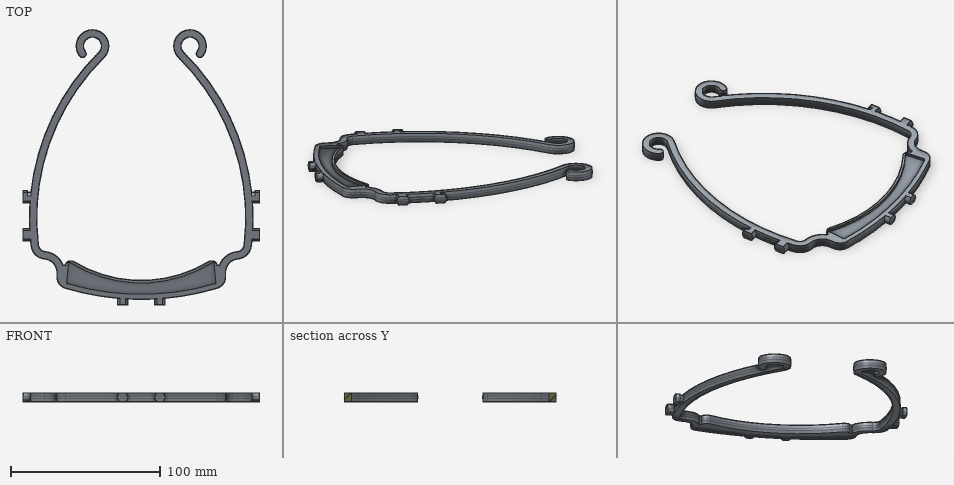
import cadquery as cq
import math

HALF_WIDTH = 79.34
HALF_LENGTH = 92.245
THICKNESS = 6.0

STRIP_WIDTH = 5.0
HOOK_RADIUS = 8.45
ARM_RADIUS = 153.5
ELBOW_RADIUS = 7.5
SHOULDER_RADIUS = 11.5
ARM_CENTER = (81.0, -34.0)
HOOK_TIP_ANGLE = 218.0
ARM_TOP_ANGLE = 134.6
ARM_BOTTOM_ANGLE = 186.9
ELBOW_END_ANGLE = 265.0

BAND_HEIGHT = 1.5
WALL_LEAN = 5.0

PAD_SHOULDER_Y = -65.6
PAD_LOWEST_Y = -88.6
PAD_LOWER_RADIUS = 178.0
PAD_UPPER_RADIUS = 87.5
PAD_UPPER_CENTER_Y = 11.7
PAD_CORNER_RADIUS = 8.0
HORN_HALF_WIDTH = 51.2
HORN_ROUNDING = 4.0
HORN_FOOT_X = 50.0

POCKET_DEPTH = 2.0
POCKET_LOWER_WALL = 3.4
POCKET_UPPER_WALL = 1.8
POCKET_TOP_HALF_WIDTH = 48.7
POCKET_BOTTOM_HALF_WIDTH = 50.1
POCKET_CORNER_RADIUS = 1.0

SIDE_PEG_DIAMETER = 8.2
SIDE_PEG_POSITIONS = (-19.7, -45.25)
SIDE_PEG_ROOT_X = 72.0
NECK_DIAMETER = 6.1
NECK_OUTER_X = 76.4
BOTTOM_PEG_DIAMETER = 7.0
BOTTOM_PEG_X = 12.5
BOTTOM_PEG_ROOT_Y = -86.5


def polar(center, radius, angle):
    """Point at a radius and an angle in degrees from a centre."""
    turn = math.radians(angle)
    return (center[0] + radius * math.cos(turn), center[1] + radius * math.sin(turn))


def circle_y(center_y, radius, x):
    """Y of the lower half of a circle centred on the Y axis."""
    return center_y - math.sqrt(radius**2 - x**2)


HOOK_CENTER = polar(ARM_CENTER, ARM_RADIUS + HOOK_RADIUS, ARM_TOP_ANGLE)
ELBOW_CENTER = polar(ARM_CENTER, ARM_RADIUS - ELBOW_RADIUS, ARM_BOTTOM_ANGLE)
SHOULDER_CENTER = polar(ELBOW_CENTER, ELBOW_RADIUS + SHOULDER_RADIUS, ELBOW_END_ANGLE)
PAD_HALF_WIDTH = STRIP_WIDTH / 2 - SHOULDER_RADIUS - SHOULDER_CENTER[0]
PAD_LOWER_CENTER_Y = PAD_LOWEST_Y + PAD_LOWER_RADIUS


def strip_piece(center, radius, start_angle, end_angle):
    """Ring sector of the strip width."""
    outer = radius + STRIP_WIDTH / 2
    inner = radius - STRIP_WIDTH / 2
    middle_angle = (start_angle + end_angle) / 2
    return (
        cq.Workplane("XY")
        .moveTo(*polar(center, outer, start_angle))
        .threePointArc(polar(center, outer, middle_angle), polar(center, outer, end_angle))
        .lineTo(*polar(center, inner, end_angle))
        .threePointArc(polar(center, inner, middle_angle), polar(center, inner, start_angle))
        .close()
        .extrude(THICKNESS)
    )


def left_strip():
    """Hook, arm, elbow and shoulder as one chain of tangent arcs."""
    tip = polar(HOOK_CENTER, HOOK_RADIUS, HOOK_TIP_ANGLE)
    strip = cq.Workplane("XY").center(*tip).circle(STRIP_WIDTH / 2).extrude(THICKNESS)
    pieces = (
        (HOOK_CENTER, HOOK_RADIUS, ARM_TOP_ANGLE - 180, HOOK_TIP_ANGLE),
        (ARM_CENTER, ARM_RADIUS, ARM_TOP_ANGLE, ARM_BOTTOM_ANGLE),
        (ELBOW_CENTER, ELBOW_RADIUS, ARM_BOTTOM_ANGLE, ELBOW_END_ANGLE),
        (SHOULDER_CENTER, SHOULDER_RADIUS, 0, ELBOW_END_ANGLE - 180),
    )
    for piece in pieces:
        strip = strip.union(strip_piece(*piece))
    return strip


def pad():
    """Crescent between the shoulders, with a rounded horn at each upper end."""
    horn_y = circle_y(PAD_UPPER_CENTER_Y, PAD_UPPER_RADIUS, HORN_HALF_WIDTH)
    corner_y = circle_y(PAD_LOWER_CENTER_Y, PAD_LOWER_RADIUS, PAD_HALF_WIDTH)
    side_y = SHOULDER_CENTER[1]
    shoulder_x = PAD_HALF_WIDTH - STRIP_WIDTH / 2
    body = (
        cq.Workplane("XY")
        .moveTo(-PAD_HALF_WIDTH, corner_y)
        .lineTo(-PAD_HALF_WIDTH, side_y)
        .lineTo(-HORN_HALF_WIDTH, side_y)
        .lineTo(-HORN_HALF_WIDTH, horn_y)
        .threePointArc((0, PAD_UPPER_CENTER_Y - PAD_UPPER_RADIUS), (HORN_HALF_WIDTH, horn_y))
        .lineTo(HORN_HALF_WIDTH, side_y)
        .lineTo(PAD_HALF_WIDTH, side_y)
        .lineTo(PAD_HALF_WIDTH, corner_y)
        .threePointArc((0, PAD_LOWEST_Y), (-PAD_HALF_WIDTH, corner_y))
        .close()
        .extrude(THICKNESS)
    )
    body = body.edges("|Z").edges("<Y").fillet(PAD_CORNER_RADIUS)
    body = body.edges("|Z").edges(">Y").fillet(HORN_ROUNDING)
    notch_floor = cq.Workplane("XY").box(
        shoulder_x - HORN_FOOT_X, PAD_SHOULDER_Y - side_y, THICKNESS, centered=False
    )
    left_floor = notch_floor.translate((-shoulder_x, side_y, 0))
    return body.union(left_floor).union(left_floor.mirror("YZ"))


def leaning_block(flat_block):
    """Block with the same outline whose walls lean inwards above and below the mid-height band."""
    outline = flat_block.faces(">Z").val().outerWire()
    middle = outline.moved(cq.Location((0, 0, -THICKNESS / 2)))
    lean_height = (THICKNESS - BAND_HEIGHT) / 2
    half_band = cq.Workplane("XY").add(middle).toPending().extrude(BAND_HEIGHT / 2)
    band_top = half_band.faces(">Z").val().outerWire()
    slope = cq.Workplane("XY").add(band_top).toPending().extrude(lean_height, taper=WALL_LEAN)
    upper_half = half_band.union(slope)
    return upper_half.union(upper_half.mirror("XY", (0, 0, THICKNESS / 2)))


def pocket():
    """Shallow crescent with straight ends, cut from the top face."""
    upper_radius = PAD_UPPER_RADIUS + POCKET_UPPER_WALL
    lower_radius = PAD_LOWER_RADIUS - POCKET_LOWER_WALL
    top_y = circle_y(PAD_UPPER_CENTER_Y, upper_radius, POCKET_TOP_HALF_WIDTH)
    bottom_y = circle_y(PAD_LOWER_CENTER_Y, lower_radius, POCKET_BOTTOM_HALF_WIDTH)
    return (
        cq.Workplane("XY")
        .workplane(offset=THICKNESS - POCKET_DEPTH)
        .moveTo(-POCKET_TOP_HALF_WIDTH, top_y)
        .threePointArc((0, PAD_UPPER_CENTER_Y - upper_radius), (POCKET_TOP_HALF_WIDTH, top_y))
        .lineTo(POCKET_BOTTOM_HALF_WIDTH, bottom_y)
        .threePointArc((0, PAD_LOWER_CENTER_Y - lower_radius), (-POCKET_BOTTOM_HALF_WIDTH, bottom_y))
        .close()
        .extrude(POCKET_DEPTH)
        .edges("|Z")
        .fillet(POCKET_CORNER_RADIUS)
    )


def peg_neck():
    """Half ring that narrows the upper left peg beside the arm, on the side facing the hook."""
    peg_y = max(SIDE_PEG_POSITIONS)
    length = NECK_OUTER_X - SIDE_PEG_ROOT_X
    ring = (
        cq.Workplane("YZ", origin=(-NECK_OUTER_X, peg_y, THICKNESS / 2))
        .circle(SIDE_PEG_DIAMETER)
        .circle(NECK_DIAMETER / 2)
        .extrude(length)
    )
    hook_side = cq.Workplane("XY", origin=(-NECK_OUTER_X, peg_y, THICKNESS / 2)).box(
        length, SIDE_PEG_DIAMETER, 2 * SIDE_PEG_DIAMETER, centered=(False, False, True)
    )
    return ring.intersect(hook_side)


def pegs():
    """Two pegs on the outside of each arm and two below the pad."""
    side = (
        cq.Workplane("YZ", origin=(-HALF_WIDTH, 0, THICKNESS / 2))
        .pushPoints([(y, 0) for y in SIDE_PEG_POSITIONS])
        .circle(SIDE_PEG_DIAMETER / 2)
        .extrude(HALF_WIDTH - SIDE_PEG_ROOT_X)
    )
    side = side.cut(peg_neck())
    bottom = (
        cq.Workplane("XZ", origin=(0, BOTTOM_PEG_ROOT_Y, THICKNESS / 2))
        .pushPoints([(-BOTTOM_PEG_X, 0), (BOTTOM_PEG_X, 0)])
        .circle(BOTTOM_PEG_DIAMETER / 2)
        .extrude(HALF_LENGTH + BOTTOM_PEG_ROOT_Y)
    )
    trim = cq.Workplane("XY").box(
        2 * HALF_WIDTH, 2 * HALF_LENGTH, THICKNESS, centered=(True, True, False)
    )
    return leaning_block(trim).intersect(side.union(side.mirror("YZ")).union(bottom))


strip = left_strip()
body = pad().union(strip).union(strip.mirror("YZ")).clean()
result = leaning_block(body).cut(pocket()).union(pegs())